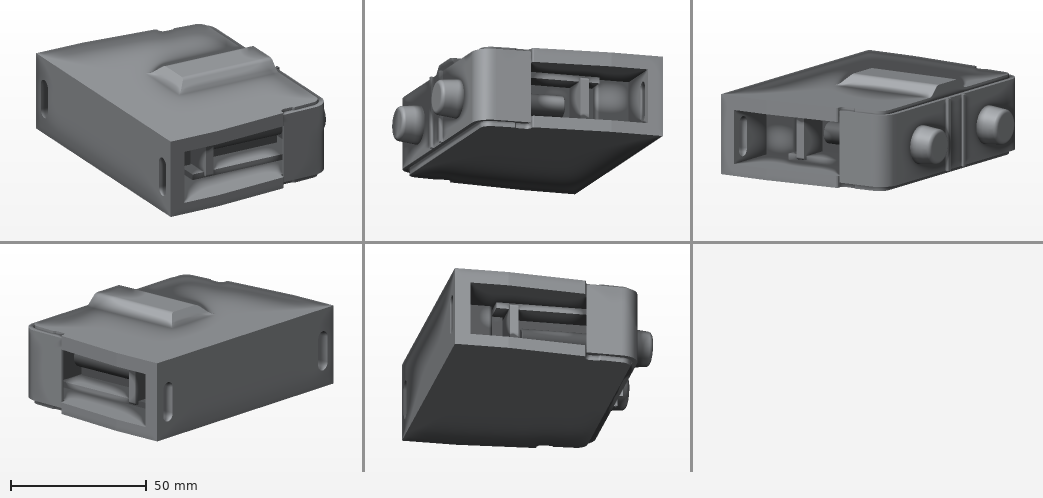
import cadquery as cq
import math

width = 98.0
height = 30.1
rear_y = 67.8
taper_start_y = 20.1
shoulder_x = 46.4
shoulder_y = 49.9
shoulder_chamfer = 0.4
rear_corner_radius = 4.0

leg_rear_x = 43.2
leg_front_x = 43.8
bump_rear_y = 55.9
bump_x = 43.1
bump_slope = leg_front_x - bump_x
notch_radius = 2.0

window_bottom = 4.4
window_top = 24.8
mid_z = (window_bottom + window_top) / 2
front_wall = 5.8
block_half_width = 27.4
block_rear_y = 18.6
block_corner_radius = 1.5
tongue_half_width = 24.5
tongue_rear_y = 22.8
tongue_height = 14.6

slot_x = 43.0
slot_z = 13.9
slot_width = 5.2
slot_length = 15.1

ridge_height = 3.9
ridge_slope = math.radians(47)
ridge_foot_half_width = 12.2
ridge_top_half_width = 5.7
ridge_fillet_radius = 2.9
ridge_front_y = 25.2

clip_bottom = 2.0
clip_top = 28.9
clip_inner_y = 68.8
clip_outer_y = 70.7
clip_inner_radius = 5.0
clip_outer_radius = 7.0
clip_leg_end_y = 50.2
clip_outer_rear_x = 45.2
clip_outer_front_x = 45.6
clip_end_radius = 2.3
rail_outer_x = 5.7
rail_wall = 1.0
rail_height = 1.3
rail_lip = 0.6
rail_lip_thickness = 0.7

knob_x = 22.0
knob_base_radius = 7.3
knob_top_radius = 6.6
knob_length = 8.3
knob_fillet = 1.6
knob_shoulder = knob_length - knob_fillet

insert_half_width = 32.6
insert_front_y = 18.9
insert_rear_y = 61.3
insert_clearance = 0.4
insert_height = window_top - window_bottom - 2 * insert_clearance
recess_height = 15.1
web_half_width = knob_x
boss_radius = 4.1
boss_front_y = 30.0
boss_chamfer = 0.3
collar_front_y = 23.7
collar_rear_y = 26.95
collar_half_width = 34.4
collar_height = 17.8
collar_fillet = 1.0


def box(x_range, y_range, z_range):
    """Axis-aligned box from its ranges along X, Y and Z."""
    return cq.Workplane("XY").box(
        x_range[1] - x_range[0], y_range[1] - y_range[0], z_range[1] - z_range[0], centered=False
    ).translate((x_range[0], y_range[0], z_range[0]))


def centered_z(size):
    """Range along Z of the given size, centred on the height of the cavity."""
    return (mid_z - size / 2, mid_z + size / 2)


def arc_middle(center, radius, degrees):
    """Point on a circle, used as the middle point of an arc."""
    angle = math.radians(degrees)
    return (center[0] + radius * math.cos(angle), center[1] + radius * math.sin(angle))


def both_sides(half):
    """Join a shape on the +X side with its mirror image across X = 0."""
    return half.union(half.mirror("YZ"))


def housing_shell():
    notch_center = (bump_x + notch_radius, shoulder_y + notch_radius)
    corner_center = (leg_rear_x - rear_corner_radius, rear_y - rear_corner_radius)
    half = (
        cq.Workplane("XY")
        .moveTo(0, 0)
        .lineTo(width / 2, 0)
        .lineTo(width / 2, taper_start_y)
        .lineTo(shoulder_x, shoulder_y - shoulder_chamfer)
        .lineTo(shoulder_x - shoulder_chamfer, shoulder_y)
        .lineTo(notch_center[0], shoulder_y)
        .threePointArc(arc_middle(notch_center, notch_radius, 225), (bump_x, notch_center[1]))
        .lineTo(bump_x, bump_rear_y - bump_slope)
        .lineTo(leg_front_x, bump_rear_y)
        .lineTo(leg_rear_x, corner_center[1])
        .threePointArc(arc_middle(corner_center, rear_corner_radius, 45), (corner_center[0], rear_y))
        .lineTo(0, rear_y)
        .close()
        .extrude(height)
    )
    return both_sides(half)


def housing_cavity():
    """Space open to both sides and to the rear, around a central block and its tongue."""
    window = (window_bottom, window_top)
    cavity = box((-width, width), (front_wall, 2 * rear_y), window)
    block = box((-block_half_width, block_half_width), (0, block_rear_y), window)
    block = block.edges("|Z and >Y").fillet(block_corner_radius)
    tongue = box((-tongue_half_width, tongue_half_width), (0, tongue_rear_y), centered_z(tongue_height))
    return cavity.cut(block).cut(tongue)


def strap_slots():
    return (
        cq.Workplane("XZ")
        .pushPoints([(-slot_x, slot_z), (slot_x, slot_z)])
        .slot2D(slot_length, slot_width, 90)
        .extrude(-front_wall)
    )


def ridge():
    """Trapezoid ridge with round edges, its front end sloped like its sides."""
    run = ridge_fillet_radius * math.sin(ridge_slope)
    rise = ridge_fillet_radius * (1 - math.cos(ridge_slope))
    half_run = ridge_fillet_radius * math.sin(ridge_slope / 2)
    half_rise = ridge_fillet_radius * (1 - math.cos(ridge_slope / 2))
    top = height + ridge_height
    foot = ridge_foot_half_width
    half_section = (
        cq.Workplane("XZ")
        .moveTo(0, height)
        .lineTo(foot, height)
        .threePointArc((foot - half_run, height + half_rise), (foot - run, height + rise))
        .lineTo(ridge_top_half_width + run, top - rise)
        .threePointArc((ridge_top_half_width + half_run, top - half_rise), (ridge_top_half_width, top))
        .lineTo(0, top)
        .close()
        .extrude(-rear_y)
    )
    slope_y = ridge_front_y + run
    slope_end_y = slope_y + (ridge_height - rise) / math.tan(ridge_slope)
    front_limit = (
        cq.Workplane("YZ")
        .moveTo(ridge_front_y, height)
        .threePointArc((ridge_front_y + half_run, height + half_rise), (slope_y, height + rise))
        .lineTo(slope_end_y, top)
        .lineTo(rear_y, top)
        .lineTo(rear_y, height)
        .close()
        .extrude(width / 2, both=True)
    )
    return both_sides(half_section).intersect(front_limit)


def make_housing():
    return housing_shell().cut(housing_cavity()).cut(strap_slots()).union(ridge())


def label_rail():
    """Hooked rail on the back of the clip, its lip pointing to the middle."""
    inner_x = rail_outer_x - rail_wall
    end_y = clip_outer_y + rail_height
    return (
        cq.Workplane("XY", origin=(0, 0, clip_bottom))
        .moveTo(rail_outer_x, clip_outer_y)
        .lineTo(rail_outer_x, end_y)
        .lineTo(inner_x - rail_lip, end_y)
        .lineTo(inner_x - rail_lip, end_y - rail_lip_thickness)
        .lineTo(inner_x, end_y - rail_lip_thickness)
        .lineTo(inner_x, clip_outer_y)
        .close()
        .extrude(clip_top - clip_bottom)
    )


def make_clip():
    inner_center = (leg_rear_x - clip_inner_radius, clip_inner_y - clip_inner_radius)
    outer_center = (clip_outer_rear_x - clip_outer_radius, clip_outer_y - clip_outer_radius)
    end_center = (bump_x + clip_end_radius, clip_leg_end_y + clip_end_radius)
    half = (
        cq.Workplane("XY", origin=(0, 0, clip_bottom))
        .moveTo(0, clip_inner_y)
        .lineTo(inner_center[0], clip_inner_y)
        .threePointArc(arc_middle(inner_center, clip_inner_radius, 45), (leg_rear_x, inner_center[1]))
        .lineTo(leg_front_x, bump_rear_y)
        .lineTo(bump_x, bump_rear_y - bump_slope)
        .lineTo(bump_x, end_center[1])
        .threePointArc(arc_middle(end_center, clip_end_radius, 225), (end_center[0], clip_leg_end_y))
        .lineTo(clip_outer_front_x, clip_leg_end_y)
        .lineTo(clip_outer_rear_x, outer_center[1])
        .threePointArc(arc_middle(outer_center, clip_outer_radius, 45), (outer_center[0], clip_outer_y))
        .lineTo(0, clip_outer_y)
        .close()
        .extrude(clip_top - clip_bottom)
    )
    return both_sides(half.union(label_rail()))


def make_knob(x):
    """Tapered round knob standing on the back of the clip."""
    end_radius = knob_top_radius - knob_fillet
    return (
        cq.Workplane("XY")
        .lineTo(-knob_base_radius, 0)
        .lineTo(-knob_top_radius, knob_shoulder)
        .threePointArc(
            arc_middle((-end_radius, knob_shoulder), knob_fillet, 135),
            (-end_radius, knob_length),
        )
        .lineTo(0, knob_length)
        .close()
        .revolve(360, (0, 0), (0, 1))
        .translate((x, clip_outer_y, mid_z))
    )


def side_bosses():
    """Round bosses half sunk into the two sides of the insert web."""
    return (
        cq.Workplane("XZ", origin=(0, boss_front_y, mid_z))
        .pushPoints([(-web_half_width, 0), (web_half_width, 0)])
        .circle(boss_radius)
        .extrude(boss_front_y - insert_rear_y)
        .faces("<Y")
        .chamfer(boss_chamfer)
    )


def make_insert():
    """I-section insert with clearance all round, open at its front for the housing tongue."""
    y_range = (insert_front_y, insert_rear_y)
    block = box((-insert_half_width, insert_half_width), y_range, centered_z(insert_height))
    recess = box((-width, width), y_range, centered_z(recess_height))
    web = box((-web_half_width, web_half_width), (collar_front_y, insert_rear_y), centered_z(recess_height))
    collar = box(
        (-collar_half_width, collar_half_width),
        (collar_front_y, collar_rear_y),
        centered_z(collar_height),
    )
    collar = collar.edges("|Y").fillet(collar_fillet)
    return block.cut(recess).union(web).union(collar).union(side_bosses())


housing = make_housing()
clip = make_clip()
knobs = [make_knob(x) for x in (-knob_x, knob_x)]
insert = make_insert()

result = cq.Compound.makeCompound(
    [housing.val(), clip.val(), *[knob.val() for knob in knobs], insert.val()]
)